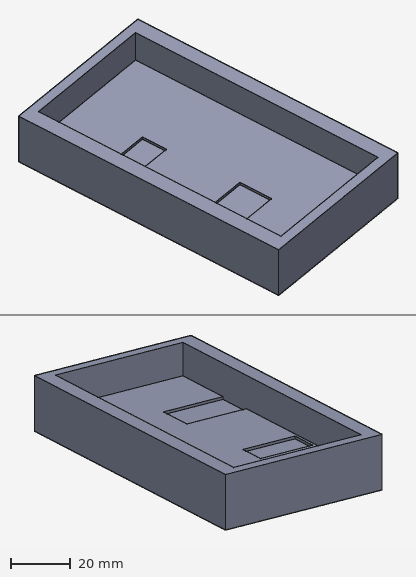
import cadquery as cq

length = 111.0
width = 64.0
height = 20.0

end_wall = 3.8
side_wall = 6.0
cavity_depth = 12.0
floor_height = height - cavity_depth

recess_depth = 1.0

small_recess_x = 30.3
small_recess_length = 10.2
small_recess_width = 21.3
small_recess_gap = 1.1

large_recess_x = 70.4
large_recess_length = 13.5
large_recess_width = 24.3


def pocket(x, y, size_x, size_y, top, depth):
    """Rectangular cutting block whose lower-left corner is at (x, y)."""
    block = cq.Workplane("XY").box(size_x, size_y, depth, centered=False)
    return block.translate((x, y, top - depth))


body = cq.Workplane("XY").box(length, width, height, centered=False)

cavity = pocket(
    end_wall,
    side_wall,
    length - 2 * end_wall,
    width - 2 * side_wall,
    height,
    cavity_depth,
)

small_recess = pocket(
    small_recess_x,
    side_wall + small_recess_gap,
    small_recess_length,
    small_recess_width,
    floor_height,
    recess_depth,
)

large_recess = pocket(
    large_recess_x,
    side_wall,
    large_recess_length,
    large_recess_width,
    floor_height,
    recess_depth,
)

result = body.cut(cavity).cut(small_recess).cut(large_recess)